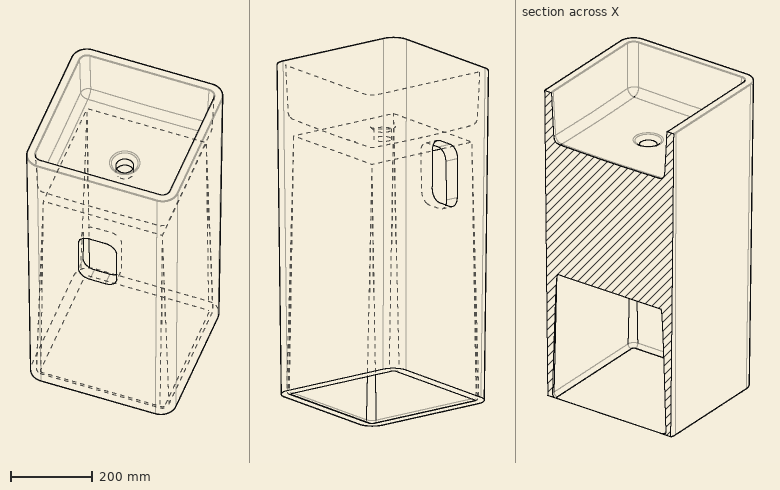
import cadquery as cq
import math

HEIGHT = 850.0
OUTER_WIDTH = 395.0
BODY_DRAFT = 0.5
BODY_CORNER_RADIUS = 40.0
RIM_ROUND = 2.0
BODY_FALL = math.tan(math.radians(BODY_DRAFT))
TOP_WIDTH = OUTER_WIDTH + 2 * RIM_ROUND * BODY_FALL

RIM_WIDTH = 21.0
BASIN_WIDTH = TOP_WIDTH - 2 * RIM_WIDTH
BASIN_DEPTH = 144.0
BASIN_DRAFT = 2.0
BASIN_FILLET = 19.5
FLOOR_SLOPE = 2.0
FLOOR_FALL = math.tan(math.radians(FLOOR_SLOPE))
FLOOR_CENTRE = HEIGHT - BASIN_DEPTH - FLOOR_FALL * BASIN_WIDTH / 2

DRAIN_RADIUS = 22.0
SINK_RADIUS = 35.0
SINK_DEPTH = 11.0
SINK_ROUND = 7.0

FLOOR_THICKNESS = 35.0
HOLLOW_TOP = FLOOR_CENTRE - FLOOR_THICKNESS
HOLLOW_DRAFT = 1.5
HOLLOW_CORNER_RADIUS = 10.0
FOOT_WALL = 16.0
FOOT_WIDTH = TOP_WIDTH - 2 * HEIGHT * BODY_FALL

OPENING_WIDTH = 100.0
OPENING_HEIGHT = 160.0
OPENING_CORNER_RADIUS = 30.0
OPENING_TOP_DROP = 229.5


def tapered_block(width, top, depth, draft):
    """Square block hanging down from height `top`, narrowing downward for a positive draft."""
    return cq.Workplane("XY", origin=(0, 0, top)).rect(width, width).extrude(-depth, taper=draft)


def turned(points):
    """Solid of revolution about Z from (radius, height) points."""
    return cq.Workplane("XZ").polyline(points).close().revolve(360, (0, 0), (0, 1))


def make_body():
    """Outer body without any openings, its upright corners and top edge rounded."""
    block = tapered_block(TOP_WIDTH, HEIGHT, HEIGHT, BODY_DRAFT)
    body = block.edges("not(#Z)").fillet(BODY_CORNER_RADIUS)
    return body.faces(">Z").edges().fillet(RIM_ROUND)


def make_basin():
    """Solid filling the basin: drafted walls, conical floor, every edge below the rim rounded."""
    block = tapered_block(BASIN_WIDTH, HEIGHT, 1.5 * BASIN_DEPTH, BASIN_DRAFT)
    reach = TOP_WIDTH
    above_floor = turned([
        (0, FLOOR_CENTRE),
        (reach, FLOOR_CENTRE + FLOOR_FALL * reach),
        (reach, HEIGHT),
        (0, HEIGHT),
    ])
    return block.intersect(above_floor).edges("not(>Z)").fillet(BASIN_FILLET)


def make_drain():
    """Drain hole running down from a conical sink in the floor."""
    sink_top = FLOOR_CENTRE + FLOOR_FALL * SINK_RADIUS
    return turned([
        (0, 0),
        (DRAIN_RADIUS, 0),
        (DRAIN_RADIUS, FLOOR_CENTRE - SINK_DEPTH),
        (SINK_RADIUS, sink_top),
        (0, sink_top),
    ])


def make_hollow():
    """Space below the basin floor, widening toward the open foot."""
    foot_width = FOOT_WIDTH - 2 * FOOT_WALL
    width = foot_width - 2 * HOLLOW_TOP * math.tan(math.radians(HOLLOW_DRAFT))
    block = tapered_block(width, HOLLOW_TOP, HOLLOW_TOP, -HOLLOW_DRAFT)
    return block.edges("not(#Z)").fillet(HOLLOW_CORNER_RADIUS)


def make_opening():
    """Rounded block cutting through the -Y wall into the hollow."""
    middle = HEIGHT - OPENING_TOP_DROP - OPENING_HEIGHT / 2
    outline = cq.Sketch().rect(OPENING_WIDTH, OPENING_HEIGHT).vertices().fillet(OPENING_CORNER_RADIUS)
    return cq.Workplane("XZ", origin=(0, 0, middle)).placeSketch(outline).extrude(TOP_WIDTH / 2)


bowl = make_body().cut(make_basin()).cut(make_drain())

bowl = bowl.faces(">Z").wires(cq.selectors.LengthNthSelector(0)).edges().fillet(RIM_ROUND)
bowl = bowl.edges("%CIRCLE").edges(cq.selectors.RadiusNthSelector(-1)).fillet(SINK_ROUND)

result = bowl.cut(make_hollow()).cut(make_opening())